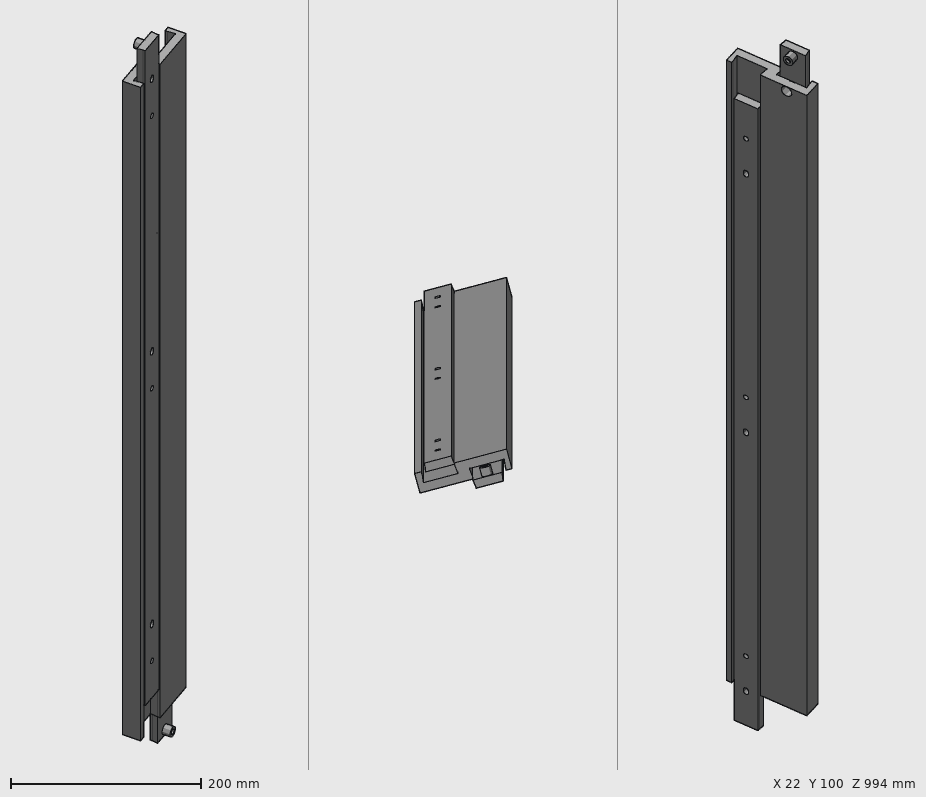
import cadquery as cq

width = 22.0
height = 100.0
half_length = 497.0
rail_length = 901.0
housing_bottom = -445.0
housing_top = 454.0

channel_depth = 12.0
channel_width = 36.0
rail_thickness = 9.4
rail_width = 30.0
lip_depth = 3.0
side_flare = 1.0
upper_rail_y = 26.0
lower_rail_y = -25.0

hole_diameter = 6.0
slot_length = 9.0
first_slot_from_end = 50.0
hole_to_slot = 51.0
pair_pitch = 375.0
pair_count = 3

stud_from_end = 8.0
stud_diameter = 12.0
stud_length = 9.4
stud_recess_diameter = 6.0
stud_recess_depth = 3.0

access_hole_diameter = 13.0


def turned(body):
    """Half a turn about the Y axis: swaps the -X and +X faces and the two ends."""
    return body.rotate((0, 0, 0), (0, 1, 0), 180)


def along_x(x, y, z, diameter, length):
    return cq.Workplane("YZ", origin=(x, y, z)).circle(diameter / 2).extrude(length)


def flared_bar(y, mouth_width, depth, length):
    """Bar along Z from the lower end, flush with the -X face and widening behind a straight lip."""
    outer_x = -width / 2
    lip_x = outer_x + lip_depth
    inner_x = outer_x + depth
    mouth_y = mouth_width / 2
    inner_y = mouth_y + side_flare
    return (
        cq.Workplane("XY", origin=(0, y, -half_length))
        .moveTo(outer_x, -mouth_y)
        .lineTo(lip_x, -mouth_y)
        .lineTo(inner_x, -inner_y)
        .lineTo(inner_x, inner_y)
        .lineTo(lip_x, mouth_y)
        .lineTo(outer_x, mouth_y)
        .close()
        .extrude(length)
    )


def make_channel(y):
    """Full-length cutter for a channel that opens on -X."""
    return flared_bar(y, channel_width, channel_depth, 2 * half_length)


def make_housing():
    """S-shaped housing with one channel opening on each side."""
    body = cq.Workplane("XY", origin=(0, 0, housing_bottom)).rect(width, height)
    body = body.extrude(housing_top - housing_bottom)
    body = body.cut(make_channel(upper_rail_y))
    body = body.cut(turned(make_channel(lower_rail_y)))
    slot_z = half_length - first_slot_from_end
    return body.cut(along_x(-width / 2, lower_rail_y, slot_z, access_hole_diameter, width))


def make_stud(y):
    """Round stud with a recess in its free end."""
    base_x = -width / 2 + rail_thickness
    z = -half_length + stud_from_end
    stud = along_x(base_x, y, z, stud_diameter, stud_length)
    recess_x = base_x + stud_length - stud_recess_depth
    return stud.cut(along_x(recess_x, y, z, stud_recess_diameter, stud_recess_depth))


def make_rail(y):
    """Rail facing -X, with its stud at the lower end."""
    rail = flared_bar(y, rail_width, rail_thickness, rail_length)
    for pair in range(pair_count):
        slot_z = -half_length + first_slot_from_end + pair * pair_pitch
        slot = (
            cq.Workplane("YZ", origin=(-width / 2, y, slot_z))
            .slot2D(slot_length, hole_diameter, 90)
            .extrude(rail_thickness)
        )
        hole = along_x(-width / 2, y, slot_z + hole_to_slot, hole_diameter, rail_thickness)
        rail = rail.cut(slot).cut(hole)
    return rail.union(make_stud(y))


housing = make_housing()
upper_rail = make_rail(upper_rail_y)
lower_rail = turned(make_rail(lower_rail_y))

result = cq.Compound.makeCompound([housing.val(), upper_rail.val(), lower_rail.val()])